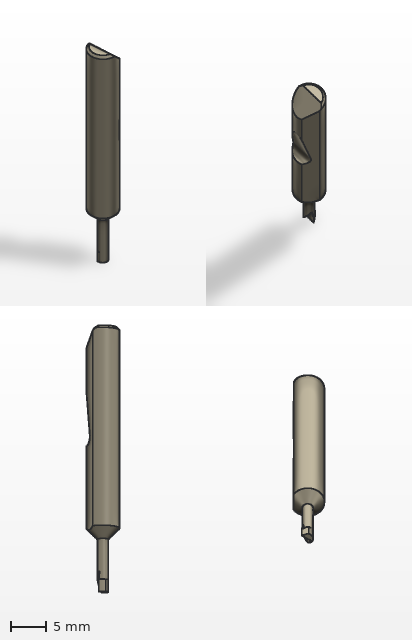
import cadquery as cq
import math

total_length = 38.1
shank_diameter = 4.76
shank_radius = shank_diameter / 2
neck_radius = 0.78
shank_bottom_z = 9.25
cone_height = shank_radius - neck_radius
neck_top_z = shank_bottom_z - cone_height
shank_chamfer = 0.4

flat_angle = 144
flat_distance = 2.0

slant_start_y = -0.62

notch_setback = 8.3
notch_top_z = total_length - notch_setback
notch_length = 8.7
notch_bottom_z = notch_top_z - notch_length
notch_ramp_angle = 9.7
notch_corner_radius = 1.2

tip_x = -1.01
rake_y = 0.05
relief_end_x = -0.41
relief_bulge = 0.03
head_height = 1.8
end_relief_angle = 3

gullet_top_z = 2.95
gullet_ramp_angle = 25

cut_size = shank_diameter


def revolved_bar():
    """Chamfered shank, cone and slim neck as one turned body."""
    return (
        cq.Workplane("XZ")
        .moveTo(0, 0)
        .lineTo(-neck_radius, 0)
        .lineTo(-neck_radius, neck_top_z)
        .lineTo(-shank_radius, shank_bottom_z)
        .lineTo(-shank_radius, total_length - shank_chamfer)
        .lineTo(-shank_radius + shank_chamfer, total_length)
        .lineTo(0, total_length)
        .close()
        .revolve(360, (0, 0, 0), (0, 1, 0))
    )


def cutting_head():
    """Tip with a flat rake face, a curved relief and a flat tangent to the neck."""
    chord_x = relief_end_x - tip_x
    chord_y = rake_y + neck_radius
    chord_length = math.hypot(chord_x, chord_y)
    relief_middle = (
        (tip_x + relief_end_x) / 2 - relief_bulge * chord_y / chord_length,
        (rake_y - neck_radius) / 2 - relief_bulge * chord_x / chord_length,
    )
    return (
        cq.Workplane("XY")
        .moveTo(0, rake_y)
        .lineTo(tip_x, rake_y)
        .threePointArc(relief_middle, (relief_end_x, -neck_radius))
        .lineTo(0, -neck_radius)
        .close()
        .extrude(head_height)
    )


def end_relief_cut():
    """Wedge below the tip that leaves the end face rising toward +X."""
    wedge_length = cut_size
    rise = wedge_length * math.tan(math.radians(end_relief_angle))
    return (
        cq.Workplane("XZ")
        .polyline([(tip_x, 0), (tip_x + wedge_length, 0), (tip_x + wedge_length, rise)])
        .close()
        .extrude(cut_size, both=True)
    )


def gullet_cut():
    """Wedge on the +Y side of the rake face, bounded by the sloping gullet ramp."""
    bottom_x = -neck_radius + gullet_top_z * math.tan(math.radians(gullet_ramp_angle))
    return (
        cq.Workplane("XZ")
        .polyline([(-neck_radius, 0), (bottom_x, 0), (-neck_radius, gullet_top_z)])
        .close()
        .extrude(-cut_size)
        .translate((0, rake_y, 0))
    )


def locating_flat_cut():
    """Block beyond the locating flat, over the cone and the shank."""
    return (
        cq.Workplane("XY")
        .box(cut_size, cut_size, total_length, centered=(False, True, False))
        .translate((flat_distance, 0, 0))
        .rotate((0, 0, 0), (0, 0, 1), flat_angle)
    )


def slant_cut():
    """Wedge that removes the +Y corner of the shank end at 45 degrees."""
    slant_width = cut_size
    outer_y = slant_start_y + slant_width
    return (
        cq.Workplane("YZ")
        .polyline([
            (slant_start_y, total_length),
            (outer_y, total_length),
            (outer_y, total_length - slant_width),
        ])
        .close()
        .extrude(cut_size, both=True)
    )


def notch_cut():
    """Clamping notch: a long ramp down to a rounded corner and a square lower wall."""
    ramp_slope = math.tan(math.radians(notch_ramp_angle))
    corner_y = shank_radius - notch_length * ramp_slope
    return (
        cq.Workplane("YZ")
        .polyline([
            (shank_radius, notch_top_z),
            (shank_radius, notch_bottom_z),
            (corner_y, notch_bottom_z),
        ])
        .close()
        .extrude(cut_size, both=True)
        .edges(cq.selectors.NearestToPointSelector((0, corner_y, notch_bottom_z)))
        .fillet(notch_corner_radius)
    )


bar = revolved_bar().cut(locating_flat_cut())
bar = bar.cut(slant_cut()).cut(notch_cut())
bar = bar.cut(gullet_cut())
result = bar.union(cutting_head()).cut(end_relief_cut())